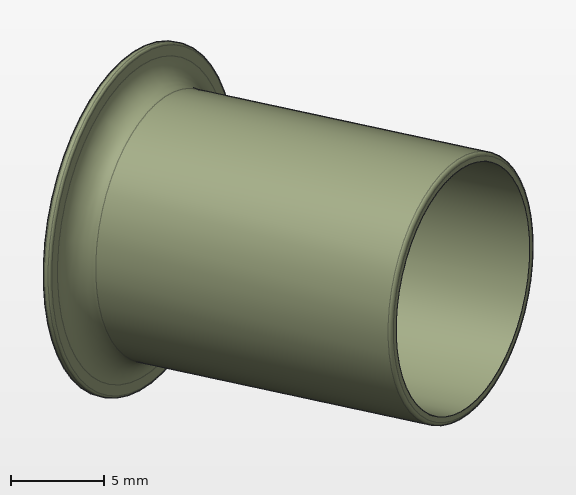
import cadquery as cq

length = 20.5
flange_diameter = 19.5
tube_diameter = 15.0
wall = 0.51
flare_radius = 2.0
rim_round = 0.15
end_round = 0.2

flange_outer = flange_diameter / 2
tube_outer = tube_diameter / 2
bore = tube_outer - wall
neck_radius = flare_radius - wall

flange = cq.Workplane("YZ").circle(flange_outer).extrude(wall).edges().fillet(rim_round)
tube = (
    cq.Workplane("YZ")
    .circle(tube_outer)
    .extrude(length)
    .faces(">X")
    .edges()
    .fillet(end_round)
)

neck = (
    cq.Workplane("XY")
    .moveTo(wall, 0)
    .lineTo(wall, tube_outer + neck_radius)
    .radiusArc((flare_radius, tube_outer), -neck_radius)
    .lineTo(flare_radius, 0)
    .close()
    .revolve(360, (0, 0), (1, 0))
)

passage = (
    cq.Workplane("XY")
    .lineTo(0, bore + flare_radius)
    .radiusArc((flare_radius, bore), -flare_radius)
    .lineTo(length, bore)
    .lineTo(length, 0)
    .close()
    .revolve(360, (0, 0), (1, 0))
)

result = flange.union(tube).union(neck).cut(passage)